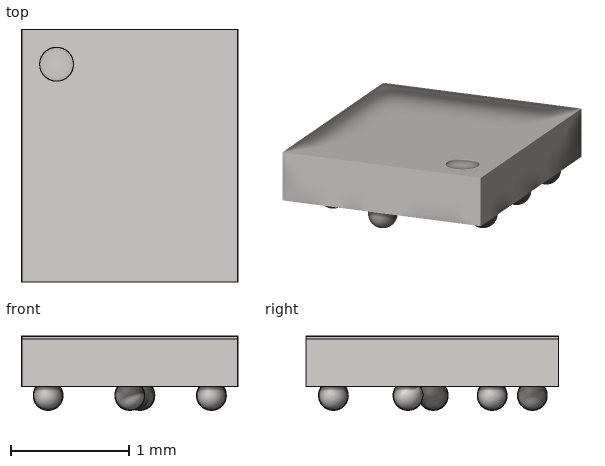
import cadquery as cq

package_length_x = 1.83
package_length_y = 2.14
package_height = 0.63

coating_thickness = 0.025
marker_radius = 0.143
marker_edge_inset = 0.295
marker_depth = 0.01

ball_radius = 0.126
ball_center_drop = 0.075
ball_column_x = 0.691
column_ball_ys = [0.507, -0.205, -0.837]
middle_ball_y = 0.009
rear_ball_x = 0.085
rear_ball_y = 0.847

ball_center_z = ball_radius
housing_bottom_z = ball_center_z + ball_center_drop
coating_bottom_z = package_height - coating_thickness


def make_slab(bottom_z, top_z):
    """Rectangular slab with the package outline between two levels."""
    slab = cq.Workplane("XY").workplane(offset=bottom_z)
    return slab.rect(package_length_x, package_length_y).extrude(top_z - bottom_z)


def ball_positions():
    """Two mirrored side columns, a middle ball and an off-centre rear ball."""
    columns = [(side * ball_column_x, y) for side in (-1, 1) for y in column_ball_ys]
    return columns + [(0, middle_ball_y), (rear_ball_x, rear_ball_y)]


def make_housing():
    """Housing block with the solder balls formed on its underside."""
    housing = make_slab(housing_bottom_z, coating_bottom_z)
    for x, y in ball_positions():
        ball = cq.Workplane("XY").sphere(ball_radius).translate((x, y, ball_center_z))
        housing = housing.union(ball)
    return housing


def make_coating():
    """Thin top layer with a shallow round marker recess near one corner."""
    marker_x = marker_edge_inset - package_length_x / 2
    marker_y = package_length_y / 2 - marker_edge_inset
    recess = (
        cq.Workplane("XY")
        .workplane(offset=package_height - marker_depth)
        .center(marker_x, marker_y)
        .circle(marker_radius)
        .extrude(marker_depth)
    )
    return make_slab(coating_bottom_z, package_height).cut(recess)


housing = make_housing()
coating = make_coating()

result = cq.Compound.makeCompound([housing.solids().val(), coating.solids().val()])